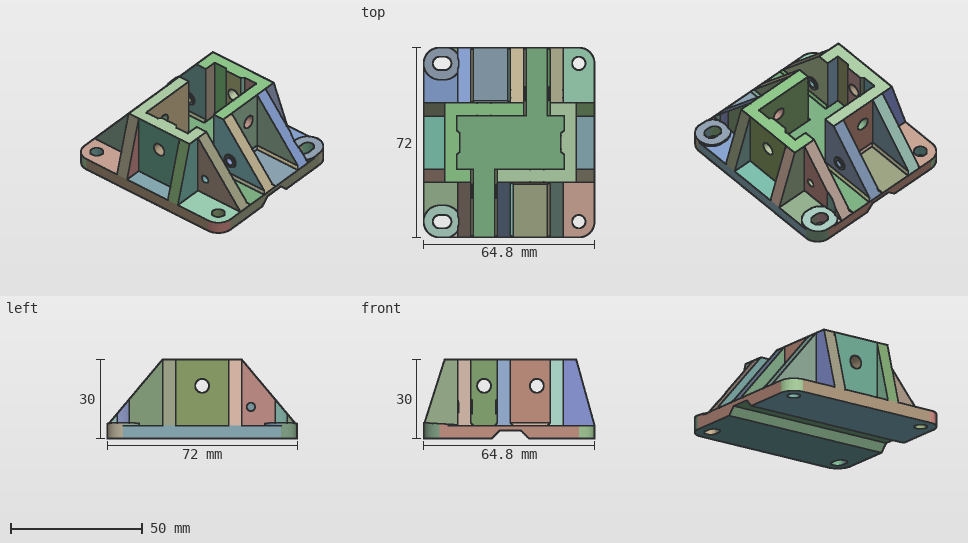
import cadquery as cq

BASE_LENGTH = 72.0
BASE_TOP = 5.0
HOLE_X = 25.9
HOLE_PITCH_Y = 60.0
HOLE_Y = HOLE_PITCH_Y / 2
HOLE_DIAMETER = 5.0
CORNER_RADIUS = BASE_LENGTH / 2 - HOLE_Y
SLOT_TRAVEL = 2.0
BASE_LEFT = -HOLE_X - SLOT_TRAVEL / 2 - CORNER_RADIUS
BASE_RIGHT = HOLE_X + CORNER_RADIUS

PAD_OUTER_TOP = 6.05
PAD_INNER_TOP = 5.2
PAD_RADIUS = 6.2
PAD_TRAVEL = 2 * (-HOLE_X - BASE_LEFT - PAD_RADIUS)
PAD_RIGHT = -HOLE_X + PAD_TRAVEL / 2 + PAD_RADIUS
HEAD_CLEARANCE_RADIUS = 5.4

GROOVE_DEPTH = 3.0
GROOVE_TOP_WIDTH = 8.1

HEIGHT = 30.0
TOWER_X = 50.0
TOWER_Y = 30.0
SOCKET_X = 40.6
SOCKET_Y = 20.45
KEY_DEPTH = 1.15
KEY_TIP_WIDTH = 7.05
KEY_ROOT_WIDTH = 9.1
CROSS_HOLE_DIAMETER = 5.2
CROSS_HOLE_X = 10.0
CROSS_HOLE_Z = 20.0

RIB_THICKNESS = 5.0
RIB_OUTER_X = 20.0
CHAMFER = 1.0
WALL_CHAMFER_WIDTH = 0.8
CHANNEL_WIDTH = 2 * (RIB_OUTER_X - RIB_THICKNESS - CROSS_HOLE_X)
CHANNEL_INNER_X = CROSS_HOLE_X - CHANNEL_WIDTH / 2
CHANNEL_OUTER_X = CROSS_HOLE_X + CHANNEL_WIDTH / 2

PIN_DIAMETER = 3.2
PIN_Y = 18.5
PIN_Z = 12.0
RING_DIAMETER = 5.5
RING_TIP_DIAMETER = 5.05
RING_HEIGHT = 0.6


def half_turn(shape):
    """Copy of a shape turned half a revolution about the tower axis."""
    return shape.rotate((0, 0, 0), (0, 0, 1), 180)


def block(x_min, x_max, y_min, y_max, z_min, z_max):
    """Box given by its limits."""
    box = cq.Workplane("XY").box(x_max - x_min, y_max - y_min, z_max - z_min, centered=False)
    return box.translate((x_min, y_min, z_min))


def stadium(radius, travel, z_min, z_max, y):
    """Upright prism with the outline of a slot, centred on a slotted hole."""
    outline = cq.Workplane("XY").center(-HOLE_X, y).slot2D(travel + 2 * radius, 2 * radius)
    return outline.extrude(z_max - z_min).translate((0, 0, z_min))


def rounded_plate(thickness):
    """Plate with the rounded outline of the base."""
    plate = block(BASE_LEFT, BASE_RIGHT, -BASE_LENGTH / 2, BASE_LENGTH / 2, 0, thickness)
    return plate.edges("|Z").fillet(CORNER_RADIUS)


def slot_pad(y):
    """Pad inside the base outline with a top face that slopes along X."""
    blank = stadium(PAD_RADIUS, PAD_TRAVEL, 0, HEIGHT, y).intersect(rounded_plate(HEIGHT))
    profile = cq.Workplane("XZ").polyline(
        [
            (BASE_LEFT, 0),
            (BASE_LEFT, PAD_OUTER_TOP),
            (PAD_RIGHT, PAD_INNER_TOP),
            (PAD_RIGHT, 0),
        ]
    ).close()
    return blank.intersect(profile.extrude(BASE_LENGTH, both=True))


def y_rib(x_min):
    """Triangular rib from the -Y wall of the tower to the base edge."""
    profile = cq.Workplane("YZ").polyline(
        [(0, BASE_TOP), (0, HEIGHT), (-TOWER_Y / 2, HEIGHT), (-BASE_LENGTH / 2, BASE_TOP)]
    ).close()
    return profile.extrude(RIB_THICKNESS).translate((x_min, 0, 0))


def x_ribs(y_max):
    """Pair of sloping ribs reaching both X edges of the base."""
    profile = cq.Workplane("XZ", origin=(0, y_max, 0)).polyline(
        [
            (BASE_LEFT, BASE_TOP),
            (-TOWER_X / 2, HEIGHT),
            (TOWER_X / 2, HEIGHT),
            (BASE_RIGHT, BASE_TOP),
        ]
    ).close()
    return profile.extrude(RIB_THICKNESS)


def floor_chamfer(x, direction, y_max):
    """Strip along Y filling the corner between a rib face and the floor."""
    profile = cq.Workplane("XZ", origin=(0, y_max, 0)).polyline(
        [(x, BASE_TOP), (x + direction * CHAMFER, BASE_TOP), (x, BASE_TOP + CHAMFER)]
    ).close()
    strip = profile.extrude(y_max + BASE_LENGTH / 2)
    return strip.intersect(y_rib(x - RIB_THICKNESS / 2))


def wall_chamfer():
    """Strip along X at the foot of the tower wall in the pocket between ribs."""
    wall_y = -TOWER_Y / 2
    profile = cq.Workplane("YZ").polyline(
        [(wall_y, BASE_TOP), (wall_y - WALL_CHAMFER_WIDTH, BASE_TOP), (wall_y, BASE_TOP + CHAMFER)]
    ).close()
    return profile.extrude(CHANNEL_OUTER_X)


def socket():
    """Rectangular socket narrowed by a tapered key on each end wall."""
    space = block(-SOCKET_X / 2, SOCKET_X / 2, -SOCKET_Y / 2, SOCKET_Y / 2, BASE_TOP, HEIGHT)
    key = cq.Workplane("XY").workplane(offset=BASE_TOP).polyline(
        [
            (-SOCKET_X / 2, -KEY_ROOT_WIDTH / 2),
            (-SOCKET_X / 2 + KEY_DEPTH, -KEY_TIP_WIDTH / 2),
            (-SOCKET_X / 2 + KEY_DEPTH, KEY_TIP_WIDTH / 2),
            (-SOCKET_X / 2, KEY_ROOT_WIDTH / 2),
        ]
    ).close().extrude(HEIGHT - BASE_TOP)
    return space.cut(key).cut(half_turn(key))


def channel():
    """Opening through the -Y wall of the tower down to the base."""
    return block(-CHANNEL_OUTER_X, -CHANNEL_INNER_X, -TOWER_Y / 2, 0, BASE_TOP, HEIGHT)


def pin_ring(x, direction):
    """Tapered ring standing on a channel wall around the pin hole."""
    disc = cq.Workplane("YZ", origin=(x, -PIN_Y, PIN_Z)).circle(RING_DIAMETER / 2)
    disc = disc.workplane(offset=direction * RING_HEIGHT).circle(RING_TIP_DIAMETER / 2)
    return disc.loft()


def pin_hole():
    """Hole through the two ribs beside the -Y channel."""
    hole = cq.Workplane("YZ", origin=(-RIB_OUTER_X, -PIN_Y, PIN_Z)).circle(PIN_DIAMETER / 2)
    return hole.extrude(CHANNEL_WIDTH + 2 * RIB_THICKNESS)


def groove():
    """Groove along Y under the base with 45 degree sides."""
    top_half = GROOVE_TOP_WIDTH / 2
    bottom_half = top_half + GROOVE_DEPTH
    profile = cq.Workplane("XZ").polyline(
        [(-bottom_half, 0), (-top_half, GROOVE_DEPTH), (top_half, GROOVE_DEPTH), (bottom_half, 0)]
    ).close()
    return profile.extrude(BASE_LENGTH / 2, both=True)


body = rounded_plate(BASE_TOP)
body = body.union(block(-TOWER_X / 2, TOWER_X / 2, -TOWER_Y / 2, TOWER_Y / 2, 0, HEIGHT))
for rib_y_max in (TOWER_Y / 2, -TOWER_Y / 2 + RIB_THICKNESS):
    body = body.union(x_ribs(rib_y_max))
for rib_x_min in (-RIB_OUTER_X, -CHANNEL_INNER_X, CHANNEL_OUTER_X):
    rib = y_rib(rib_x_min)
    body = body.union(rib).union(half_turn(rib))

body = body.cut(socket()).cut(channel()).cut(half_turn(channel()))

side_details = [
    floor_chamfer(-CHANNEL_OUTER_X, 1, -SOCKET_Y / 2),
    floor_chamfer(-CHANNEL_INNER_X, -1, -SOCKET_Y / 2),
    floor_chamfer(0, 1, -TOWER_Y / 2),
    floor_chamfer(CHANNEL_OUTER_X, -1, -TOWER_Y / 2),
    wall_chamfer(),
    pin_ring(-CHANNEL_OUTER_X, 1),
    pin_ring(-CHANNEL_INNER_X, -1),
]
for detail in side_details:
    body = body.union(detail).union(half_turn(detail))
body = body.cut(pin_hole()).cut(half_turn(pin_hole()))

for y in (-HOLE_Y, HOLE_Y):
    body = body.cut(stadium(HEAD_CLEARANCE_RADIUS, SLOT_TRAVEL, BASE_TOP, HEIGHT, y))
    body = body.union(slot_pad(y))
    body = body.cut(stadium(HOLE_DIAMETER / 2, SLOT_TRAVEL, 0, HEIGHT, y))
    body = body.cut(cq.Workplane("XY").center(HOLE_X, y).circle(HOLE_DIAMETER / 2).extrude(BASE_TOP))

cross_holes = cq.Workplane("XZ").pushPoints([(-CROSS_HOLE_X, CROSS_HOLE_Z), (CROSS_HOLE_X, CROSS_HOLE_Z)])
body = body.cut(cross_holes.circle(CROSS_HOLE_DIAMETER / 2).extrude(TOWER_Y / 2, both=True))
end_hole = cq.Workplane("YZ").center(0, CROSS_HOLE_Z).circle(CROSS_HOLE_DIAMETER / 2)
body = body.cut(end_hole.extrude(TOWER_X / 2, both=True))

result = body.cut(groove())